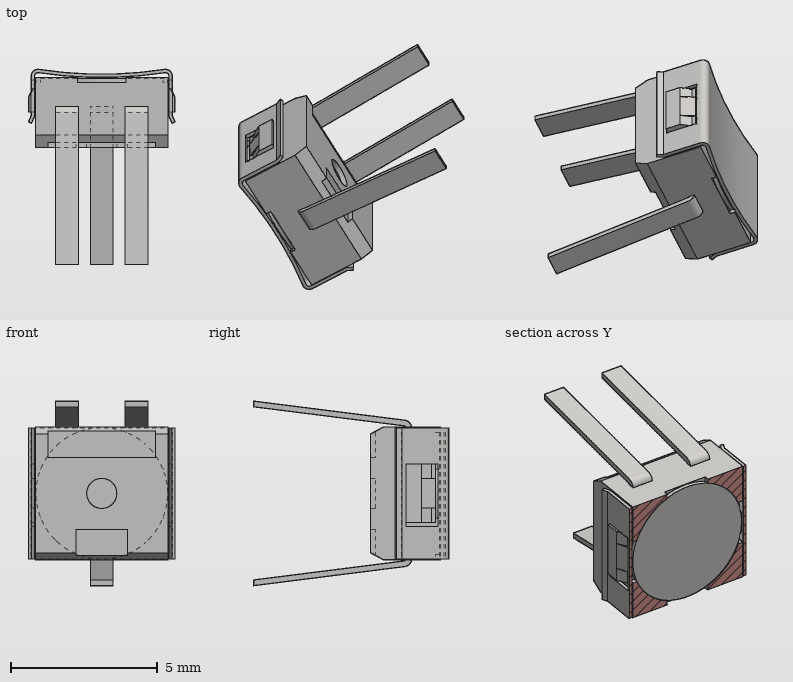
import cadquery as cq
import math


body_size = 4.52
body_depth = 2.395
half_body = body_size / 2
chamfer_depth = 0.44
chamfer_drop = 0.24

recess_depth = 0.18
recess_inner_z = 1.23
top_recess_width = 3.645
bottom_recess_width = 1.77
front_hole_diameter = 1.025

rotor_radius = 2.24
rotor_rear_y = 2.36
notch_width = 1.66
pocket_floor_y = 2.22

wedge_front_y = 1.21
wedge_crest_y = 1.735
wedge_rear_y = 2.08
wedge_height = 1.995
rib_height = 1.01
wedge_crest_x = 2.49
wedge_base_x = half_body + 0.01
wedge_root_x = half_body - 0.065

cover_height = 4.47
cover_thickness = 0.12
cover_half_width = 2.41
cover_rear_y = 2.67
cover_middle_y = 2.51
cover_corner_radius = 0.24
lip_tip_x = 2.5
lip_bend_y = 1.085
lip_angle = math.radians(25)
window_rear_y = 2.31
window_bottom_gap = 0.125

lead_thickness = 0.2
lead_bend_radius = 0.28
lead_rear_y = 1.41
lead_tip_y = -3.98
lead_tip_z = 3.145
lead_angle = math.radians(7.2)
lead_root_depth = 0.2
top_lead_width = 0.79
top_lead_offset = 1.185
bottom_lead_width = 0.77


def block(x_range, y_range, z_range):
    """Box spanning the given (low, high) ranges."""
    lows, highs = zip(x_range, y_range, z_range)
    sizes = [high - low for low, high in zip(lows, highs)]
    return cq.Workplane("XY").box(*sizes, centered=False).translate(lows)


def y_cylinder(radius, y_start, y_end):
    """Cylinder around the Y axis between two Y positions."""
    return cq.Workplane("XZ", origin=(0, y_start, 0)).circle(radius).extrude(y_start - y_end)


def make_body():
    side_outline = [
        (0, -half_body + chamfer_drop),
        (chamfer_depth, -half_body),
        (body_depth, -half_body),
        (body_depth, half_body),
        (chamfer_depth, half_body),
        (0, half_body - chamfer_drop),
    ]
    body = cq.Workplane("YZ").polyline(side_outline).close().extrude(half_body, both=True)

    recess_y = (0, recess_depth)
    for width, z_range in (
        (top_recess_width, (recess_inner_z, half_body)),
        (bottom_recess_width, (-half_body, -recess_inner_z)),
    ):
        body = body.cut(block((-width / 2, width / 2), recess_y, z_range))
    body = body.cut(y_cylinder(front_hole_diameter / 2, 0, recess_depth))

    pocket_y = (pocket_floor_y, body_depth)
    notch_span = (-notch_width / 2, notch_width / 2)
    full_span = (-half_body, half_body)
    body = body.cut(y_cylinder(rotor_radius, *pocket_y))
    body = body.cut(block(notch_span, pocket_y, full_span))
    body = body.cut(block(full_span, pocket_y, notch_span))
    return body.union(y_cylinder(rotor_radius, pocket_floor_y, rotor_rear_y))


def make_wedge(slope_rear_y, height):
    """Snap wedge on the +X side, sloping back from its crest to the level of the base plate."""
    outline = [
        (wedge_root_x, wedge_front_y),
        (wedge_crest_x, wedge_front_y),
        (wedge_crest_x, wedge_crest_y),
        (wedge_base_x, slope_rear_y),
        (wedge_root_x, slope_rear_y),
    ]
    return cq.Workplane("XY").polyline(outline).close().extrude(height / 2, both=True)


def make_cover():
    """Strip bent around the back, with an inward bow, round corners and flared lips."""
    corner_x = cover_half_width - cover_corner_radius
    corner_y = cover_rear_y - cover_corner_radius
    rise = cover_middle_y - corner_y
    bow_radius = (corner_x**2 + rise**2 - cover_corner_radius**2) / (2 * (cover_corner_radius - rise))
    bow_angle = math.asin(corner_x / (bow_radius + cover_corner_radius))
    mid_corner_angle = (math.pi / 2 + bow_angle) / 2

    def half_points(inset):
        """Points of the +X half, from lip tip to bow, moved inward by inset."""
        radius = cover_corner_radius - inset
        lip_length = (lip_tip_x - cover_half_width) / math.sin(lip_angle)
        side_x = cover_half_width - inset
        bend_y = lip_bend_y - inset * math.tan(lip_angle / 2)
        tip = (
            lip_tip_x - inset * math.cos(lip_angle),
            lip_bend_y - lip_length * math.cos(lip_angle) - inset * math.sin(lip_angle),
        )

        def on_corner(angle):
            return (corner_x + radius * math.cos(angle), corner_y + radius * math.sin(angle))

        corner_end = on_corner(math.pi / 2 + bow_angle)
        return [tip, (side_x, bend_y), (side_x, corner_y), on_corner(mid_corner_angle), corner_end]

    def mirrored(points):
        return [(-x, y) for x, y in points]

    def trace(outline, start, middle_y, end):
        """Draw one face of the strip from one lip to the other."""
        return (
            outline.lineTo(*start[1])
            .lineTo(*start[2])
            .threePointArc(start[3], start[4])
            .threePointArc((0, middle_y), end[4])
            .threePointArc(end[3], end[2])
            .lineTo(*end[1])
            .lineTo(*end[0])
        )

    outer = half_points(0)
    inner = half_points(cover_thickness)
    inner_mirrored = mirrored(inner)
    outline = cq.Workplane("XY").moveTo(*outer[0])
    outline = trace(outline, outer, cover_middle_y, mirrored(outer))
    outline = outline.lineTo(*inner_mirrored[0])
    outline = trace(outline, inner_mirrored, cover_middle_y - cover_thickness, inner)
    cover = outline.close().extrude(cover_height / 2, both=True)

    window = block(
        (-lip_tip_x, lip_tip_x),
        (wedge_front_y, window_rear_y),
        (-wedge_height / 2 - window_bottom_gap, wedge_height / 2),
    )
    return cover.cut(window)


def make_lead(width, x_center):
    """Lead leaving the top of the body, bent forward and slightly upward."""
    bend_y = lead_rear_y - lead_bend_radius
    inner_radius = lead_bend_radius - lead_thickness
    root_z = half_body - lead_root_depth
    straight_rise = (bend_y - lead_tip_y) * math.tan(lead_angle)
    bend_z = lead_tip_z - straight_rise - lead_bend_radius / math.cos(lead_angle)

    def on_bend(radius, angle):
        return (bend_y + radius * math.cos(angle), bend_z + radius * math.sin(angle))

    end_angle = math.pi / 2 - lead_angle

    def tip(radius):
        y, z = on_bend(radius, end_angle)
        return (lead_tip_y, z + (y - lead_tip_y) * math.tan(lead_angle))

    profile = (
        cq.Workplane("YZ", origin=(x_center, 0, 0))
        .moveTo(lead_rear_y, root_z)
        .lineTo(lead_rear_y, bend_z)
        .threePointArc(on_bend(lead_bend_radius, end_angle / 2), on_bend(lead_bend_radius, end_angle))
        .lineTo(*tip(lead_bend_radius))
        .lineTo(*tip(inner_radius))
        .lineTo(*on_bend(inner_radius, end_angle))
        .threePointArc(on_bend(inner_radius, end_angle / 2), on_bend(inner_radius, 0))
        .lineTo(bend_y + inner_radius, root_z)
        .close()
    )
    return profile.extrude(width / 2, both=True)


result = make_body()

base_plate = block(
    (wedge_root_x, wedge_base_x),
    (wedge_front_y, pocket_floor_y),
    (-wedge_height / 2, wedge_height / 2),
)
wedge = base_plate.union(make_wedge(wedge_rear_y, wedge_height))
wedge = wedge.union(make_wedge(pocket_floor_y, rib_height))
result = result.union(wedge).union(wedge.mirror("YZ"))

result = result.union(make_cover())

for lead_x in (-top_lead_offset, top_lead_offset):
    result = result.union(make_lead(top_lead_width, lead_x))
result = result.union(make_lead(bottom_lead_width, 0).mirror("XY"))